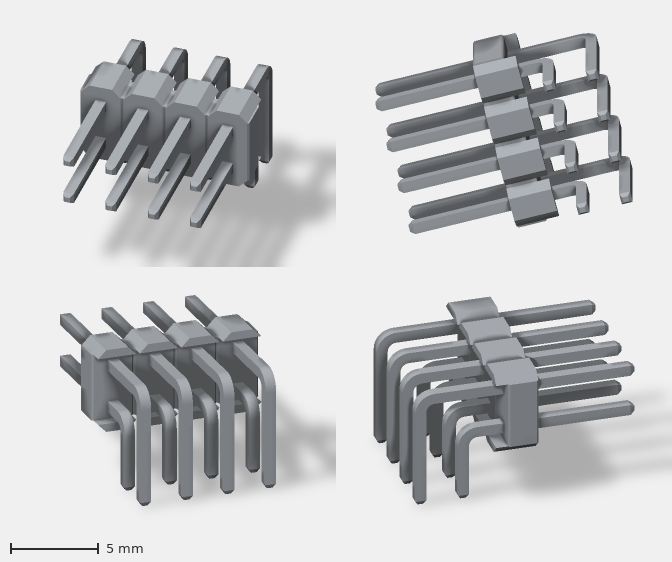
import cadquery as cq


column_count = 4
overall_width = 10.16
overall_length = 13.04
overall_height = 8.0
pitch = overall_width / column_count
column_places = [(i - (column_count - 1) / 2) * pitch for i in range(column_count)]

housing_height = 5.01
housing_depth = 2.5
wall_depth = 1.8
corner_chamfer = 0.5
groove_depth = 0.1
cell_width = pitch - 2 * groove_depth
core_height = housing_height - 2 * corner_chamfer

pin_width = 0.64
tip_width = pin_width / 2
tip_length = 0.26
inner_bend_radius = 0.5
outer_bend_radius = inner_bend_radius + pin_width
front_reach = 6.0
shaft_front = -front_reach + tip_length
leg_bottom = housing_height / 2 - overall_height + tip_length

upper_leg_depth = overall_length - front_reach - pin_width / 2
pin_rows = [
    (pitch / 2, upper_leg_depth),
    (-pitch / 2, upper_leg_depth - pitch),
]


def make_cell():
    """One octagonal cell with lips at the back and a wider core with bevelled upright edges."""
    octagon = (
        cq.Workplane("XY")
        .box(cell_width, housing_depth, housing_height, centered=(True, False, True))
        .edges("|Y")
        .chamfer(corner_chamfer)
    )
    rear_channel = (
        cq.Workplane("XY")
        .box(cell_width, housing_depth - wall_depth, core_height, centered=(True, False, True))
        .translate((0, wall_depth, 0))
    )
    core = (
        cq.Workplane("XY")
        .box(pitch, wall_depth, core_height, centered=(True, False, True))
        .edges("|Z")
        .chamfer(groove_depth)
    )
    return octagon.cut(rear_channel).union(core)


def make_housing():
    """Row of joined cells with a square through hole for every pin."""
    body = make_cell().translate((column_places[0], 0, 0))
    for x in column_places[1:]:
        body = body.union(make_cell().translate((x, 0, 0)))

    hole_centres = [(x, row_height) for x in column_places for row_height, _ in pin_rows]
    holes = (
        cq.Workplane("XZ")
        .pushPoints(hole_centres)
        .rect(pin_width, pin_width)
        .extrude(-wall_depth)
    )
    return body.cut(holes)


def make_tip(plane):
    """Square tip that narrows along the normal of the given plane."""
    return (
        cq.Workplane(plane)
        .rect(pin_width, pin_width)
        .workplane(offset=tip_length)
        .rect(tip_width, tip_width)
        .loft(ruled=True)
    )


def make_pin(x, row_height, leg_depth):
    """Square wire running back through the housing, then bent down, with both ends tapered."""
    top = row_height + pin_width / 2
    underside = row_height - pin_width / 2
    leg_back = leg_depth + pin_width / 2
    leg_front = leg_depth - pin_width / 2
    bend_y = leg_front - inner_bend_radius
    bend_z = underside - inner_bend_radius
    shaft = (
        cq.Workplane("YZ")
        .moveTo(shaft_front, top)
        .lineTo(bend_y, top)
        .radiusArc((leg_back, bend_z), outer_bend_radius)
        .lineTo(leg_back, leg_bottom)
        .lineTo(leg_front, leg_bottom)
        .lineTo(leg_front, bend_z)
        .radiusArc((bend_y, underside), -inner_bend_radius)
        .lineTo(shaft_front, underside)
        .close()
        .extrude(pin_width / 2, both=True)
    )
    front_plane = cq.Plane(origin=(0, shaft_front, row_height), xDir=(1, 0, 0), normal=(0, -1, 0))
    bottom_plane = cq.Plane(origin=(0, leg_depth, leg_bottom), xDir=(1, 0, 0), normal=(0, 0, -1))
    pin = shaft.union(make_tip(front_plane)).union(make_tip(bottom_plane))
    return pin.translate((x, 0, 0))


housing = make_housing().val()

pins = []
for x in column_places:
    for row_height, leg_depth in pin_rows:
        pins.append(make_pin(x, row_height, leg_depth).val())

result = cq.Compound.makeCompound([housing, *pins])